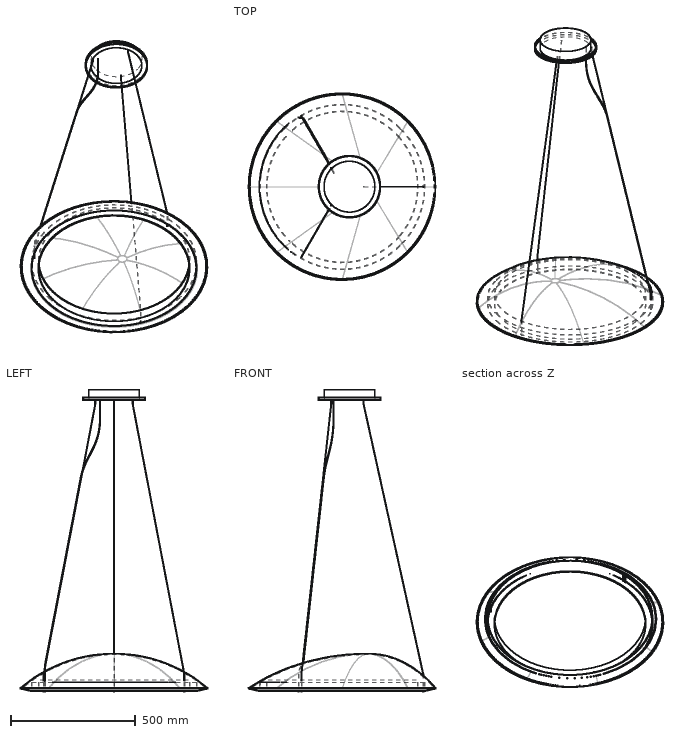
import cadquery as cq
import math

total_height = 1215.8
rim_radius = 753.17 / 2

ring_bottom = 2.5
tray_wall = 2.5
outer_wall_radius = 333.0
outer_wall_top = 37.5
inner_wall_top = 48.0
ring_inner_radius = 303.0
ring_outer_radius = 336.0
rim_bottom = 12.0
rim_top = 15.0
dome_radius = rim_radius
dome_height = 139.0
dome_wall = 3.0
dome_edge_wall = 6.0
apex_offset = 105.0
apex_patch = 0.05
dome_slices = 8
dome_panels = 8
panel_angle = 360 / dome_panels

canopy_x = 30.0
drum_radius = 102.5
drum_height = 30.0
dish_radius = 125.0
dish_depth = 12.0
dish_wall = 3.0
dish_bottom = total_height - drum_height - dish_depth

cable_radius = 0.75
cable_angles = (0, 120, 240)
cable_bottom = 0.0
cable_top_circle = 86.6
cable_bottom_circle = 327.0
top_fitting_radius = 1.5
top_fitting_length = 15.0
end_tube_radius = 1.5
end_tube_top = 70.0

cord_radius = 1.25
cord_top = cq.Vector(-34.0, 56.0, dish_bottom)
cord_drop = 70.0
cord_gap = 3.0
cord_side_angle = 30
cord_cable_angle = cable_angles[1]
cord_join_height = 860.0
cord_leave_height = 130.0
cord_end = cq.Vector(-175.0, 278.0, end_tube_top)


def polar(radius, angle, z):
    a = math.radians(angle)
    return cq.Vector(radius * math.cos(a), radius * math.sin(a), z)


def rod(start, end, radius):
    axis = end - start
    return cq.Workplane(cq.Solid.makeCylinder(radius, axis.Length, start, axis))


def panel_arc(center, radius, panel):
    start, middle, end = [center + polar(radius, (panel + turn) * panel_angle, 0) for turn in (0, 0.5, 1)]
    return cq.Edge.makeThreePointArc(start, middle, end)


def dome_solid(radius, height):
    """Circles that shrink and slide toward the apex while following a circular arc upward."""
    arc_radius = (radius**2 + height**2) / (2 * height)
    wires = []
    for i in range(dome_slices):
        share = 1 + (apex_patch - 1) * i / (dome_slices - 1)
        z = math.sqrt(arc_radius**2 - (radius * share) ** 2) - (arc_radius - height)
        center = cq.Vector(apex_offset * (1 - share), 0, rim_top + z)
        arcs = [panel_arc(center, radius * share, panel) for panel in range(dome_panels)]
        wires.append(cq.Wire.assembleEdges(arcs))
    return cq.Workplane(cq.Solid.makeLoft(wires))


def make_shade():
    tray_floor = ring_bottom + tray_wall
    dome = dome_solid(dome_radius, dome_height)
    dome = dome.cut(dome_solid(dome_radius - dome_edge_wall, dome_height - dome_wall))
    rim = (
        cq.Workplane("XZ")
        .moveTo(ring_inner_radius, ring_bottom)
        .lineTo(ring_outer_radius, ring_bottom)
        .lineTo(rim_radius, rim_bottom)
        .lineTo(rim_radius, rim_top)
        .lineTo(dome_radius - dome_edge_wall, rim_top)
        .lineTo(outer_wall_radius, tray_floor)
        .lineTo(outer_wall_radius, outer_wall_top)
        .lineTo(outer_wall_radius - tray_wall, outer_wall_top)
        .lineTo(outer_wall_radius - tray_wall, tray_floor)
        .lineTo(ring_inner_radius + tray_wall, tray_floor)
        .lineTo(ring_inner_radius + tray_wall, inner_wall_top)
        .lineTo(ring_inner_radius, inner_wall_top)
        .close()
        .revolve(360, (0, 0), (0, 1))
    )
    return dome.union(rim)


def make_canopy():
    base = cq.Workplane("XY", origin=(canopy_x, 0, dish_bottom))
    dish = base.circle(dish_radius).extrude(dish_depth)
    hollow = base.workplane(offset=dish_wall).circle(dish_radius - dish_wall).extrude(dish_depth)
    drum = base.circle(drum_radius).extrude(total_height - dish_bottom)
    return dish.cut(hollow).union(drum)


def cable_head(angle):
    return polar(cable_top_circle, angle, dish_bottom - top_fitting_length)


def cable_foot(angle):
    return polar(cable_bottom_circle, angle, end_tube_top)


def end_tube(top):
    return rod(cq.Vector(top.x, top.y, cable_bottom), top, end_tube_radius)


def make_cable(angle):
    head = cable_head(angle)
    foot = cable_foot(angle)
    fitting = rod(polar(cable_top_circle, angle, dish_bottom), head, top_fitting_radius)
    return rod(head, foot, cable_radius).union(fitting).union(end_tube(foot))


def beside_cable(z):
    """A point next to the cord's cable at the given height."""
    head = cable_head(cord_cable_angle)
    foot = cable_foot(cord_cable_angle)
    share = (head.z - z) / (head.z - foot.z)
    return head + (foot - head) * share + polar(cord_gap, cord_side_angle, 0)


def make_cord():
    straight_down = cq.Vector(0, 0, -1)
    drop = cord_top + straight_down * cord_drop
    join = beside_cable(cord_join_height)
    leave = beside_cable(cord_leave_height)
    along_cable = (leave - join).normalized()
    path = cq.Wire.assembleEdges([
        cq.Edge.makeLine(cord_top, drop),
        cq.Edge.makeSpline([drop, join], tangents=[straight_down, along_cable]),
        cq.Edge.makeLine(join, leave),
        cq.Edge.makeSpline([leave, cord_end], tangents=[along_cable, straight_down]),
    ])
    start = cq.Workplane("XY", origin=cord_top.toTuple())
    return start.circle(cord_radius).sweep(path).union(end_tube(cord_end))


tube_tops = [cable_foot(angle) for angle in cable_angles] + [cord_end]
shade = make_shade()
for tube_top in tube_tops:
    shade = shade.cut(end_tube(tube_top))

suspension = make_canopy()
for angle in cable_angles:
    suspension = suspension.union(make_cable(angle))
suspension = suspension.union(make_cord())
result = cq.Compound.makeCompound([*shade.vals(), *suspension.vals()])